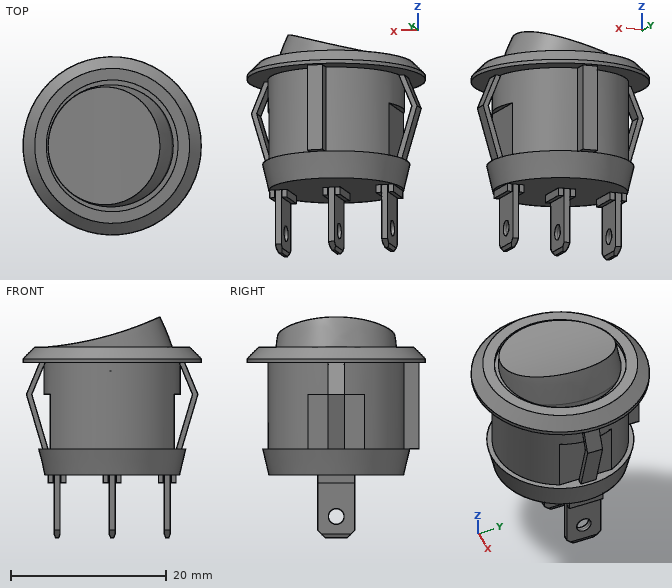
import cadquery as cq
import math


FLANGE_DIAMETER = 23.0
FLANGE_HEIGHT = 2.0
FLANGE_CHAMFER = 1.5
RECESS_DIAMETER = 17.0
RECESS_DEPTH = 0.5
BARREL_DIAMETER = 17.62
BARREL_LENGTH = 11.12
COLLAR_TOP_DIAMETER = 19.0
COLLAR_BOTTOM_DIAMETER = 17.4
COLLAR_HEIGHT = 3.4
HOUSING_BOTTOM = -(BARREL_LENGTH + COLLAR_HEIGHT)

FLAT_TO_AXIS = 8.0
FLAT_TOP = -4.1

KEY_WIDTH = 2.0
KEY_REACH = 10.7

ROCKER_TILT = 15.0
ROCKER_SKIRT_DIAMETER = 16.0
ROCKER_TOP_DIAMETER = 14.95
ROCKER_HEIGHT = 4.1
ROCKER_SKIRT_DEPTH = 1.0
ROCKER_SIDE_BULGE = 0.07
DISH_DEPTH = 0.63

CLIP_WIDTH = 2.1
CLIP_THICKNESS = 0.7
CLIP_TOP_REACH = 9.35
CLIP_KNEE_REACH = 11.05
CLIP_FOOT_REACH = 8.98

TERMINAL_PITCH = 7.1
TERMINAL_THICKNESS = 0.8
TERMINAL_WIDTH = 4.8
TERMINAL_CORNER = 1.0
TIP_BEVEL_HEIGHT = 0.5
TIP_BEVEL_DEPTH = 0.2
TERMINAL_HOLE_DIAMETER = 2.0
HOLE_TO_TIP = 2.77
BOSS_HEIGHT = 1.0
BOSS_THICKNESS = 2.3
BOSS_SLOT = 1.0

OVERALL_HEIGHT = 28.5
TILT = math.radians(ROCKER_TILT)
ROCKER_PEAK = ROCKER_TOP_DIAMETER / 2 * math.sin(TILT) + ROCKER_HEIGHT * math.cos(TILT)
TERMINAL_TIP = ROCKER_PEAK - OVERALL_HEIGHT
TERMINAL_LENGTH = HOUSING_BOTTOM - TERMINAL_TIP

TERMINAL_POSITIONS = (-TERMINAL_PITCH, 0, TERMINAL_PITCH)


def make_rocker():
    """Turned disc with bulging sides and a cylindrical dish, tilted so that the +X side is raised."""
    skirt_radius = ROCKER_SKIRT_DIAMETER / 2
    top_radius = ROCKER_TOP_DIAMETER / 2
    disc = (
        cq.Workplane("XZ")
        .moveTo(0, -ROCKER_SKIRT_DEPTH)
        .lineTo(skirt_radius, -ROCKER_SKIRT_DEPTH)
        .lineTo(skirt_radius, 0)
        .sagittaArc((top_radius, ROCKER_HEIGHT), -ROCKER_SIDE_BULGE)
        .lineTo(0, ROCKER_HEIGHT)
        .close()
        .revolve(360, (0, 0, 0), (0, 1, 0))
    )

    dish_radius = (top_radius**2 + DISH_DEPTH**2) / (2 * DISH_DEPTH)
    dish_axis_height = ROCKER_HEIGHT - DISH_DEPTH + dish_radius
    dish = (
        cq.Workplane("XZ")
        .center(0, dish_axis_height)
        .circle(dish_radius)
        .extrude(skirt_radius, both=True)
    )
    return disc.cut(dish).rotate((0, 0, 0), (0, 1, 0), -ROCKER_TILT)


def make_clip(side):
    """Bent strip bowed outwards between the flange and the collar, on the given X side (+1 or -1)."""
    knee = FLAT_TOP
    foot = -BARREL_LENGTH
    outer = [(CLIP_TOP_REACH, 0), (CLIP_KNEE_REACH, knee), (CLIP_FOOT_REACH, foot)]
    inner = [(reach - CLIP_THICKNESS, z) for reach, z in reversed(outer)]
    outline = [(side * reach, z) for reach, z in outer + inner]
    return cq.Workplane("XZ").polyline(outline).close().extrude(CLIP_WIDTH / 2, both=True)


def make_terminal(x):
    """Flat blade with cut corners, a bevelled tip and a wire hole."""
    half_thickness = TERMINAL_THICKNESS / 2
    tip_half_thickness = half_thickness - TIP_BEVEL_DEPTH
    bevel_top = TERMINAL_TIP + TIP_BEVEL_HEIGHT
    edge_outline = [
        (x - half_thickness, HOUSING_BOTTOM),
        (x + half_thickness, HOUSING_BOTTOM),
        (x + half_thickness, bevel_top),
        (x + tip_half_thickness, TERMINAL_TIP),
        (x - tip_half_thickness, TERMINAL_TIP),
        (x - half_thickness, bevel_top),
    ]
    bevelled_bar = (
        cq.Workplane("XZ")
        .polyline(edge_outline)
        .close()
        .extrude(TERMINAL_WIDTH / 2, both=True)
    )
    cornered_plate = (
        cq.Workplane("XY")
        .box(TERMINAL_THICKNESS, TERMINAL_WIDTH, TERMINAL_LENGTH)
        .edges("|X and <Z")
        .chamfer(TERMINAL_CORNER)
        .translate((x, 0, HOUSING_BOTTOM - TERMINAL_LENGTH / 2))
    )
    hole = (
        cq.Workplane("YZ", origin=(x, 0, TERMINAL_TIP + HOLE_TO_TIP))
        .circle(TERMINAL_HOLE_DIAMETER / 2)
        .extrude(TERMINAL_THICKNESS, both=True)
    )
    return bevelled_bar.intersect(cornered_plate).cut(hole)


def make_housing_shell():
    """Turned body: bevelled flange with a shallow recess, barrel and tapered collar."""
    flange_radius = FLANGE_DIAMETER / 2
    recess_floor = FLANGE_HEIGHT - RECESS_DEPTH
    outline = [
        (0, recess_floor),
        (RECESS_DIAMETER / 2, recess_floor),
        (RECESS_DIAMETER / 2, FLANGE_HEIGHT),
        (flange_radius - FLANGE_CHAMFER, FLANGE_HEIGHT),
        (flange_radius, FLANGE_HEIGHT - FLANGE_CHAMFER),
        (flange_radius, 0),
        (BARREL_DIAMETER / 2, 0),
        (BARREL_DIAMETER / 2, -BARREL_LENGTH),
        (COLLAR_TOP_DIAMETER / 2, -BARREL_LENGTH),
        (COLLAR_BOTTOM_DIAMETER / 2, HOUSING_BOTTOM),
        (0, HOUSING_BOTTOM),
    ]
    return cq.Workplane("XZ").polyline(outline).close().revolve(360, (0, 0, 0), (0, 1, 0))


def make_flat_cutter(side):
    """Block that cuts one flat on the barrel, from the collar up to the flat's top edge."""
    depth = BARREL_DIAMETER / 2 - FLAT_TO_AXIS
    height = FLAT_TOP + BARREL_LENGTH
    return (
        cq.Workplane("XY")
        .box(depth, BARREL_DIAMETER, height)
        .translate((side * (FLAT_TO_AXIS + depth / 2), 0, FLAT_TOP - height / 2))
    )


def make_key():
    """Straight rib from inside the barrel wall out to the key's reach."""
    return (
        cq.Workplane("XY")
        .box(KEY_WIDTH, KEY_REACH, BARREL_LENGTH)
        .translate((0, KEY_REACH / 2, -BARREL_LENGTH / 2))
    )


def make_boss(x):
    """Pair of low walls under the collar, one on each face of a terminal."""
    block = cq.Workplane("XY").box(BOSS_THICKNESS, TERMINAL_WIDTH, BOSS_HEIGHT)
    slot = cq.Workplane("XY").box(BOSS_SLOT, TERMINAL_WIDTH, BOSS_HEIGHT)
    return block.cut(slot).translate((x, 0, HOUSING_BOTTOM - BOSS_HEIGHT / 2))


def make_housing(rocker, clips):
    """Housing with its flats, key and bosses, and seats that match the rocker and the clips."""
    housing = make_housing_shell()
    for side in (-1, 1):
        housing = housing.cut(make_flat_cutter(side))
    housing = housing.union(make_key())
    for x in TERMINAL_POSITIONS:
        housing = housing.union(make_boss(x))
    housing = housing.cut(rocker)
    for clip in clips:
        housing = housing.cut(clip)
    return housing


rocker = make_rocker()
clips = [make_clip(side) for side in (-1, 1)]
terminals = [make_terminal(x) for x in TERMINAL_POSITIONS]
housing = make_housing(rocker, clips)

result = cq.Compound.makeCompound(
    [
        housing.val(),
        rocker.val(),
        *[clip.val() for clip in clips],
        *[terminal.val() for terminal in terminals],
    ]
)